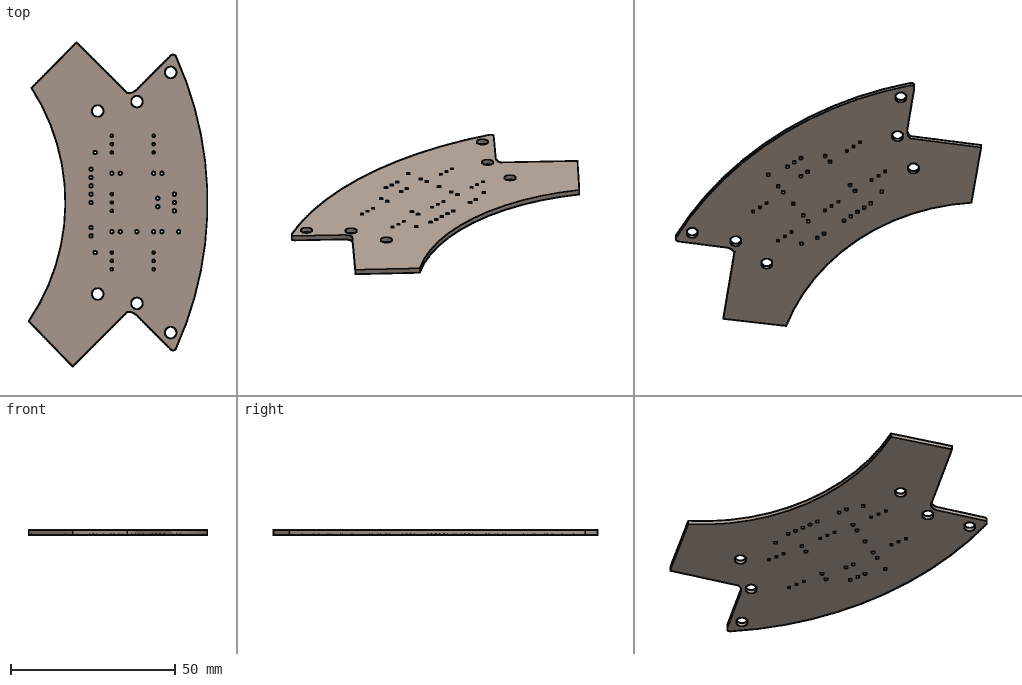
import cadquery as cq
import math

thickness = 1.6
inner_radius = 64.3
outer_radius = 107.7
arc_center_x = -86.2

upper_arm_tip = (-18.4, 48.9)
lower_arm_tip = (-19.6, -50.0)
upper_arm_corner_y = 34.9
lower_arm_corner_y = -36.2
notch_corner = (-3.0, 33.4)
notch_start = (-0.2, 34.3)
notch_radius = 3.1
notch_middle_angle = -72
horn_tip_radius = 1.0

mounting_diameter = 3.5
mounting_positions = [(0, 30.8), (-12.0, 27.9), (10.3, 39.7)]
pin_diameter = 1.0
small_pin_diameter = 0.76
pitch = 2.54


def arc_point(radius, y):
    """Point at height y on a circle about the shared arc centre."""
    return (arc_center_x + math.sqrt(radius**2 - y**2), y)


def horn_tip():
    """Point where the 45 degree notch side meets the outer arc."""
    offset = notch_start[1] - notch_start[0]
    half_gap = (offset + arc_center_x) / 2
    x = (arc_center_x - offset) / 2 + math.sqrt(outer_radius**2 / 2 - half_gap**2)
    return (x, x + offset)


def mirrored(point):
    return (point[0], -point[1])


def make_plate():
    tip = horn_tip()
    diagonal = notch_radius / math.sqrt(2)
    notch_center = (notch_start[0] - diagonal, notch_start[1] + diagonal)
    middle_angle = math.radians(notch_middle_angle)
    notch_middle = (
        notch_center[0] + notch_radius * math.cos(middle_angle),
        notch_center[1] + notch_radius * math.sin(middle_angle),
    )
    plate = (
        cq.Workplane("XY")
        .moveTo(*arc_point(inner_radius, upper_arm_corner_y))
        .lineTo(*upper_arm_tip)
        .lineTo(*notch_corner)
        .threePointArc(notch_middle, notch_start)
        .lineTo(*tip)
        .threePointArc(arc_point(outer_radius, 0), mirrored(tip))
        .lineTo(*mirrored(notch_start))
        .threePointArc(mirrored(notch_middle), mirrored(notch_corner))
        .lineTo(*lower_arm_tip)
        .lineTo(*arc_point(inner_radius, lower_arm_corner_y))
        .threePointArc(arc_point(inner_radius, 0), arc_point(inner_radius, upper_arm_corner_y))
        .close()
        .extrude(thickness)
    )
    for corner in (tip, mirrored(tip)):
        selector = cq.selectors.NearestToPointSelector((*corner, thickness / 2))
        plate = plate.edges("|Z").edges(selector).fillet(horn_tip_radius)
    return plate


def drill(plate, points, diameter):
    cutters = cq.Workplane("XY").pushPoints(points).circle(diameter / 2).extrude(thickness)
    return plate.cut(cutters)


small_pin_steps = [(-3, y) for y in (8, 7, 6, 1, 0, -1, -6, -7, -8)]
small_pin_steps += [(2, y) for y in (8, 7, 6, -6, -7, -8)]

pin_steps = [(-5.5, y) for y in (4, 3, 2, 1, 0, -3, -4)]
pin_steps += [(-5, 6), (-5, -6)]
pin_steps += [(x, 3.5) for x in (-3, -2, 2, 3)]
pin_steps += [(x, -3.5) for x in (-3, -2, 0, 2, 3, 5)]
pin_steps += [(2.5, 0.5), (2.5, -0.5)]
pin_steps += [(4.5, y) for y in (1, 0, -1)]


def on_grid(steps):
    return [(x * pitch, y * pitch) for x, y in steps]


mounting_points = mounting_positions + [mirrored(point) for point in mounting_positions]

result = make_plate()
result = drill(result, mounting_points, mounting_diameter)
result = drill(result, on_grid(pin_steps), pin_diameter)
result = drill(result, on_grid(small_pin_steps), small_pin_diameter)